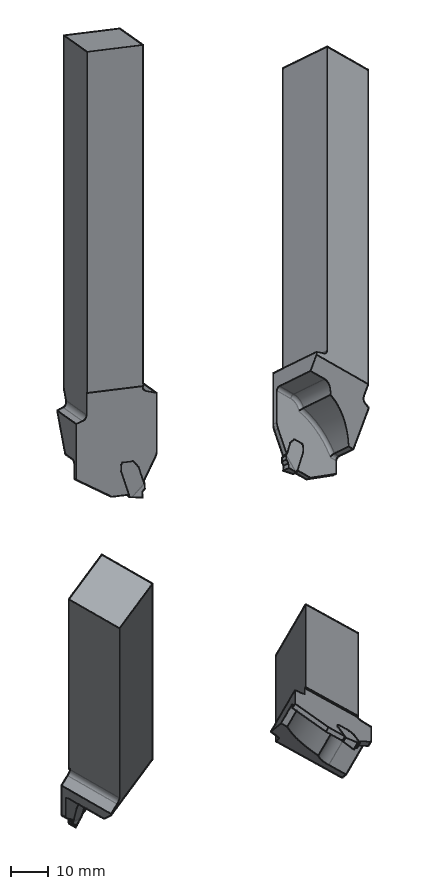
import cadquery as cq
import math

shank_size = 16.0
total_length = 125.0
step_z = 30.8
step_depth = 0.4

head_x = shank_size - step_depth
blade_thickness = 1.4
blade_x = head_x - blade_thickness
head_front_y = -3.0
head_back_y = 20.1
shoulder_slope = math.radians(17)
back_shoulder_z = 28.2
front_shoulder_z = 22.5
back_flank_z = 11.5
front_flank_z = 7.0
shoulder_radius = 1.6
blade_bottom_z = 1.1
blade_bottom_front_y = 7.1
blade_bottom_back_y = 14.6
blade_corner_radius = 3.8

flank_top_z = 27.4
flank_bottom_x = 8.1
clearance_bottom_z = 12.0
root_radius = 1.0

overhang = 2.5
tolerance = 0.01

insert_outline = [
    (12.4, 0.4), (15.9, 0), (15.9, 1.5), (16.6, 2.4), (16.6, 3.6), (16.0, 5.0), (14.9, 8.5),
    (13.4, 10.2), (10.2, 10.2), (9.9, 9.6), (9.9, 7.9),
]
tip_corner = (15.9, 0)
flare_upper = (15.5, 2.9)
flare_lower = (13.4, 0.9)
tip_flare = 0.4


def extrude_along_x(profile, x_start, x_end):
    """Extrude a closed YZ profile between two X positions."""
    return profile.extrude(x_end - x_start).translate((x_start, 0, 0))


def yz_sketch():
    return cq.Workplane("YZ")


def make_head_blank():
    front_corner_z = front_shoulder_z - head_front_y * math.tan(shoulder_slope)
    back_corner_z = back_shoulder_z + (head_back_y - shank_size) * math.tan(shoulder_slope)
    profile = yz_sketch().polyline([
        (0, step_z),
        (0, front_corner_z),
        (head_front_y, front_shoulder_z),
        (head_front_y, front_flank_z),
        (blade_bottom_front_y, blade_bottom_z),
        (blade_bottom_back_y, blade_bottom_z),
        (head_back_y, back_flank_z),
        (head_back_y, back_shoulder_z),
        (shank_size, back_corner_z),
        (shank_size, total_length),
        (0, total_length),
    ]).close()
    blank = extrude_along_x(profile, 0, shank_size)

    def round_edge(body, y, z, radius):
        selector = cq.selectors.NearestToPointSelector((shank_size / 2, y, z))
        return body.edges("|X").edges(selector).fillet(radius)

    blank = round_edge(blank, 0, front_corner_z, shoulder_radius)
    blank = round_edge(blank, shank_size, back_corner_z, shoulder_radius)
    return round_edge(blank, head_back_y, back_flank_z, blade_corner_radius)


def make_step_cut():
    """Set-back of the +X face over the whole head."""
    width = head_back_y - head_front_y
    return cq.Workplane("XY").box(step_depth, width, step_z, centered=False).translate(
        (head_x, head_front_y, 0))


def make_flank_cut():
    """Wedge that slants the -X side of the head."""
    wedge = cq.Workplane("XZ").polyline([
        (0, flank_top_z),
        (0, clearance_bottom_z),
        (flank_bottom_x, clearance_bottom_z),
    ]).close()
    return wedge.extrude(head_front_y - head_back_y).translate((0, head_front_y, 0))


def make_clearance_lobe(profile):
    """One lobe of the recess beside the blade, with its root rounded."""
    lobe = extrude_along_x(profile, -overhang, blade_x)
    root_edges = [
        edge for edge in lobe.faces(">X").edges().vals()
        if edge.Center().z >= clearance_bottom_z - tolerance and edge.BoundingBox().ylen > tolerance
    ]
    return lobe.newObject(root_edges).fillet(root_radius)


def make_clearance_cut():
    """Recess of two arched lobes that leaves only the thin blade."""
    front_y = head_front_y - overhang
    back_y = head_back_y + overhang
    front_arc_end = (-1.1, clearance_bottom_z)
    cusp = (10.9, 20.6)
    back_arc_end = (14.8, 23.2)
    front_lobe = make_clearance_lobe(
        yz_sketch()
        .moveTo(front_y, -overhang)
        .lineTo(front_y, clearance_bottom_z)
        .lineTo(*front_arc_end)
        .threePointArc((4.9, 18.0), cusp)
        .lineTo(back_y, cusp[1])
        .lineTo(back_y, -overhang)
        .close()
    )
    back_lobe = make_clearance_lobe(
        yz_sketch()
        .moveTo(back_y, -overhang)
        .lineTo(back_y, back_arc_end[1])
        .lineTo(*back_arc_end)
        .tangentArcPoint(cusp, relative=False)
        .lineTo(cusp[0], -overhang)
        .close()
    )
    return front_lobe.union(back_lobe)


def make_insert_body():
    profile = yz_sketch().polyline(insert_outline).close()
    return extrude_along_x(profile, blade_x, head_x)


def make_flare():
    """Wedge that widens the insert on both sides, from the flare line out to the tip corner."""
    line_y = flare_upper[0] - flare_lower[0]
    line_z = flare_upper[1] - flare_lower[1]
    line_length = math.hypot(line_y, line_z)
    outward = (0, line_z / line_length, -line_y / line_length)
    flare_depth = ((tip_corner[0] - flare_lower[0]) * outward[1]
                   + (tip_corner[1] - flare_lower[1]) * outward[2])
    along = (0, line_y / line_length, line_z / line_length)
    start = cq.Plane(origin=(0, *flare_lower), xDir=(1, 0, 0), normal=along)
    wedge = cq.Workplane(start).polyline([
        (blade_x, 0),
        (blade_x - tip_flare, flare_depth),
        (head_x + tip_flare, flare_depth),
        (head_x, 0),
    ]).close().extrude(2 * line_length, both=True)
    outline = yz_sketch().polyline(insert_outline).close()
    return wedge.intersect(extrude_along_x(outline, blade_x - tip_flare, head_x + tip_flare))


def make_holder():
    holder = make_head_blank().cut(make_step_cut())
    holder = holder.cut(make_flank_cut()).cut(make_clearance_cut())
    return holder.cut(make_insert_body())


def make_insert():
    return make_insert_body().union(make_flare())


holder = make_holder()
insert = make_insert()
result = cq.Compound.makeCompound([holder.solids().val(), insert.solids().val()])